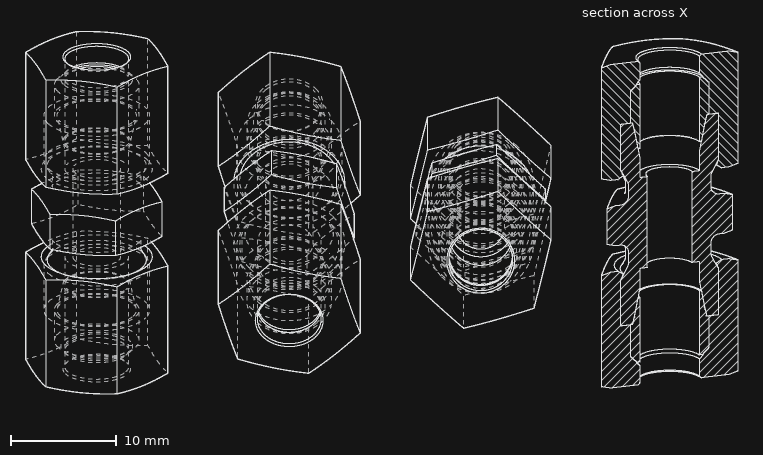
import cadquery as cq
import math


TOTAL_LENGTH = 32.0
TOP_Z = TOTAL_LENGTH / 2

TUBE_DIA = 6.0
BORE_DIA = 4.5

NUT_ACROSS_FLATS = 12.0
NUT_LENGTH = 11.5
BODY_ACROSS_FLATS = 11.0
BODY_HEX_HEIGHT = 4.0
HEX_CHAMFER_ANGLE = 15.0

BODY_LENGTH = 19.97
THREAD_DIA = 10.0
NECK_DIA = 8.4
NECK_FILLET = (THREAD_DIA - NECK_DIA) / 2
NECK_END_Z = 3.78
RUNOUT_FILLET = 0.8
RUNOUT_ANGLE = 30.0
SOCKET_CONE_DIA = 7.5
SOCKET_CONE_HALF_ANGLE = 12.0
TUBE_STOP_Z = 4.5

RING_DIA = 8.0
RING_TOP_Z = 13.73
RING_TIP_Z = 7.35

NUT_BOTTOM_Z = TOP_Z - NUT_LENGTH
MOUTH_DIA = 6.4
THREAD_MOUTH_DIA = 10.5
THREAD_MOUTH_ANGLE = 60.0
CLAMP_CONE_TOP_Z = 14.1

TUBE_RADIUS = TUBE_DIA / 2
RING_RADIUS = RING_DIA / 2
THREAD_RADIUS = THREAD_DIA / 2
NECK_RADIUS = NECK_DIA / 2
SOCKET_RADIUS = SOCKET_CONE_DIA / 2
BODY_END_Z = BODY_LENGTH / 2
SOCKET_SLOPE = math.tan(math.radians(SOCKET_CONE_HALF_ANGLE))
CLAMP_CONE_BASE_Z = CLAMP_CONE_TOP_Z - (RING_RADIUS - TUBE_RADIUS)

RUNOUT = math.radians(RUNOUT_ANGLE)
RUNOUT_SLOPE = math.tan(RUNOUT)
RUNOUT_START_R = NECK_RADIUS + RUNOUT_FILLET * (1 - math.cos(RUNOUT))
RUNOUT_START_Z = NECK_END_Z + RUNOUT_FILLET * math.sin(RUNOUT)
RUNOUT_END_Z = RUNOUT_START_Z + (THREAD_RADIUS - RUNOUT_START_R) / RUNOUT_SLOPE


def revolve_profile(profile):
    """Turn a closed (radius, z) profile about the Z axis."""
    return profile.close().revolve(360, (0, 0, 0), (0, 1, 0))


def chamfered_hexagon(across_flats, bottom_z, top_z):
    """Hexagonal prism with flats facing +/-X and its corners coned off at both ends."""
    flat_radius = across_flats / 2
    corner_radius = flat_radius / math.cos(math.pi / 6)
    corner_drop = (corner_radius - flat_radius) * math.tan(math.radians(HEX_CHAMFER_ANGLE))
    prism = (
        cq.Workplane("XY")
        .workplane(offset=bottom_z)
        .polygon(6, 2 * corner_radius)
        .extrude(top_z - bottom_z)
        .rotate((0, 0, 0), (0, 0, 1), 30)
    )
    envelope = revolve_profile(
        cq.Workplane("XZ")
        .moveTo(0, bottom_z)
        .lineTo(flat_radius, bottom_z)
        .lineTo(corner_radius, bottom_z + corner_drop)
        .lineTo(corner_radius, top_z - corner_drop)
        .lineTo(flat_radius, top_z)
        .lineTo(0, top_z)
    )
    return prism.intersect(envelope)


def make_threaded_end():
    """Upper turned end: filleted neck, runout cone and thread, hollowed by the tube socket."""
    hex_top_z = BODY_HEX_HEIGHT / 2
    fillet_center_r = NECK_RADIUS + NECK_FILLET
    fillet_center_z = hex_top_z + NECK_FILLET
    runout_center_r = NECK_RADIUS + RUNOUT_FILLET
    socket_cone_base_z = BODY_END_Z - (SOCKET_RADIUS - TUBE_RADIUS) / SOCKET_SLOPE
    return revolve_profile(
        cq.Workplane("XZ")
        .moveTo(BORE_DIA / 2, 0)
        .lineTo(fillet_center_r, 0)
        .lineTo(fillet_center_r, hex_top_z)
        .threePointArc(
            (
                fillet_center_r - NECK_FILLET * math.cos(math.pi / 4),
                fillet_center_z - NECK_FILLET * math.sin(math.pi / 4),
            ),
            (NECK_RADIUS, fillet_center_z),
        )
        .lineTo(NECK_RADIUS, NECK_END_Z)
        .threePointArc(
            (
                runout_center_r - RUNOUT_FILLET * math.cos(RUNOUT / 2),
                NECK_END_Z + RUNOUT_FILLET * math.sin(RUNOUT / 2),
            ),
            (RUNOUT_START_R, RUNOUT_START_Z),
        )
        .lineTo(THREAD_RADIUS, RUNOUT_END_Z)
        .lineTo(THREAD_RADIUS, BODY_END_Z)
        .lineTo(SOCKET_RADIUS, BODY_END_Z)
        .lineTo(TUBE_RADIUS, socket_cone_base_z)
        .lineTo(TUBE_RADIUS, TUBE_STOP_Z)
        .lineTo(BORE_DIA / 2, TUBE_STOP_Z)
    )


def make_body():
    """Fitting body: central hexagon between two identical threaded ends."""
    hexagon = chamfered_hexagon(BODY_ACROSS_FLATS, -BODY_HEX_HEIGHT / 2, BODY_HEX_HEIGHT / 2)
    bore = cq.Workplane("XY").circle(BORE_DIA / 2).extrude(BODY_HEX_HEIGHT, both=True)
    upper_end = make_threaded_end()
    lower_end = upper_end.mirror("XY")
    return hexagon.cut(bore).union(upper_end).union(lower_end)


def make_ring():
    """Upper cutting ring: wedge tip in the body socket, 45 degree shoulder in the nut."""
    tip_radius = SOCKET_RADIUS - (BODY_END_Z - RING_TIP_Z) * SOCKET_SLOPE
    top_radius = TUBE_RADIUS + CLAMP_CONE_TOP_Z - RING_TOP_Z
    return revolve_profile(
        cq.Workplane("XZ")
        .moveTo(TUBE_RADIUS, RING_TIP_Z)
        .lineTo(tip_radius, RING_TIP_Z)
        .lineTo(SOCKET_RADIUS, BODY_END_Z)
        .lineTo(RING_RADIUS, BODY_END_Z)
        .lineTo(RING_RADIUS, CLAMP_CONE_BASE_Z)
        .lineTo(top_radius, RING_TOP_Z)
        .lineTo(TUBE_RADIUS, RING_TOP_Z)
    )


def make_nut():
    """Upper union nut: chamfered hexagon whose cavity fits the thread, runout and ring."""
    mouth_radius = MOUTH_DIA / 2
    mouth_depth = mouth_radius - TUBE_RADIUS
    thread_mouth_radius = THREAD_MOUTH_DIA / 2
    countersink_slope = math.tan(math.radians(THREAD_MOUTH_ANGLE))
    runout_r_at_bottom = RUNOUT_START_R + (NUT_BOTTOM_Z - RUNOUT_START_Z) * RUNOUT_SLOPE
    thread_mouth_depth = (thread_mouth_radius - runout_r_at_bottom) / (countersink_slope + RUNOUT_SLOPE)
    meeting_r = thread_mouth_radius - thread_mouth_depth * countersink_slope
    cavity = revolve_profile(
        cq.Workplane("XZ")
        .moveTo(0, NUT_BOTTOM_Z)
        .lineTo(thread_mouth_radius, NUT_BOTTOM_Z)
        .lineTo(meeting_r, NUT_BOTTOM_Z + thread_mouth_depth)
        .lineTo(THREAD_RADIUS, RUNOUT_END_Z)
        .lineTo(THREAD_RADIUS, BODY_END_Z)
        .lineTo(RING_RADIUS, BODY_END_Z)
        .lineTo(RING_RADIUS, CLAMP_CONE_BASE_Z)
        .lineTo(TUBE_RADIUS, CLAMP_CONE_TOP_Z)
        .lineTo(TUBE_RADIUS, TOP_Z - mouth_depth)
        .lineTo(mouth_radius, TOP_Z)
        .lineTo(0, TOP_Z)
    )
    return chamfered_hexagon(NUT_ACROSS_FLATS, NUT_BOTTOM_Z, TOP_Z).cut(cavity)


body = make_body()

end_parts = []
for make_part in (make_ring, make_nut):
    upper_part = make_part()
    lower_part = upper_part.mirror("XY")
    end_parts += [upper_part.val(), lower_part.val()]

result = cq.Compound.makeCompound([body.val(), *end_parts])